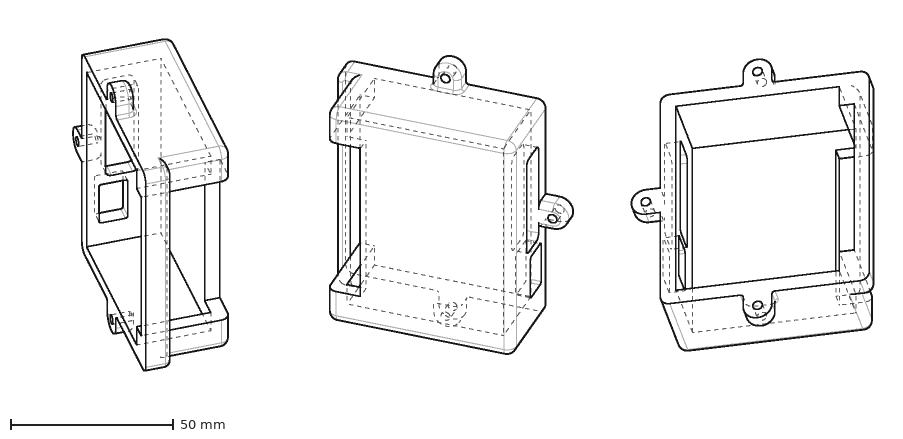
import cadquery as cq

body_width = 61.0
body_depth = 28.85
body_height = 77.4
body_radius = 3.0

flange_width = 65.8
flange_depth = 8.3
small_radius = 2.0

side_wall = 5.0
back_wall = 5.0
end_wall = 4.7
cavity_width = 51.4

opening_width = 10.9
opening_height = 54.0

tab_reach = 9.1
tab_width = 9.1
tab_depth = 6.1
tab_hole_diameter = 3.0
tab_root_radius = 1.0
end_tab_x = 30.7
tab_overlap = 2.9
selection_margin = 0.1

long_slot = (6.1, 16.7, -8.0, 25.9, 1.9)
short_slot = (4.0, 13.3, -25.8, -10.9, 0.8)


def block(x_size, y_size, z_size, x_start=0, y_start=0):
    """Box placed by its low X and Y faces and centred on Z = 0."""
    box = cq.Workplane("XY").box(x_size, y_size, z_size, centered=(False, False, True))
    return box.translate((x_start, y_start, 0))


def rounded_block(width, depth, back_radius):
    """Block with rounded corners along Y and a rounded back rim."""
    solid = block(width, depth, body_height).edges("|Y").fillet(body_radius)
    return solid.faces(">Y").edges().fillet(back_radius)


def make_tab():
    """Round-ended tab pointing to +Z, with its root on Z = 0 and its front on Y = 0."""
    tab_radius = tab_width / 2
    hole_z = tab_reach - tab_radius
    root = block(tab_width, tab_depth, hole_z + tab_overlap, -tab_radius)
    root = root.translate((0, 0, (hole_z - tab_overlap) / 2))
    tip = cq.Workplane("XZ").center(0, hole_z).circle(tab_radius).extrude(-tab_depth)
    tab = root.union(tip).clean()
    tab = tab.faces(">Y").edges().fillet(small_radius)
    hole = cq.Workplane("XZ").center(0, hole_z).circle(tab_hole_diameter / 2).extrude(-tab_depth)
    return tab.cut(hole)


def cut_slot(solid, y_start, y_end, z_start, z_end, radius):
    """Cut a rounded rectangular slot through the left wall."""
    slot = block(side_wall, y_end - y_start, z_end - z_start, 0, y_start)
    slot = slot.edges("|X").fillet(radius)
    return solid.cut(slot.translate((0, 0, (z_start + z_end) / 2)))


shell = rounded_block(body_width, body_depth, body_radius)
shell = shell.union(rounded_block(flange_width, flange_depth, small_radius))

tab = make_tab()
top_tab = tab.translate((end_tab_x, 0, body_height / 2))
shell = shell.union(top_tab).union(top_tab.mirror("XY"))
for wall_z in (-body_height / 2, body_height / 2):
    root_zone = cq.selectors.BoxSelector(
        (end_tab_x - tab_width, selection_margin, wall_z - selection_margin),
        (end_tab_x + tab_width, tab_depth + selection_margin, wall_z + selection_margin))
    shell = shell.edges(root_zone).fillet(tab_root_radius)

left_tab = tab.rotate((0, 0, 0), (0, 1, 0), -90)
shell = shell.union(left_tab)

cavity_height = body_height - 2 * end_wall
shell = shell.cut(block(cavity_width, body_depth - back_wall, cavity_height, side_wall))
shell = shell.cut(block(opening_width, body_depth, opening_height, body_width - opening_width))
for slot in (long_slot, short_slot):
    shell = cut_slot(shell, *slot)

result = shell